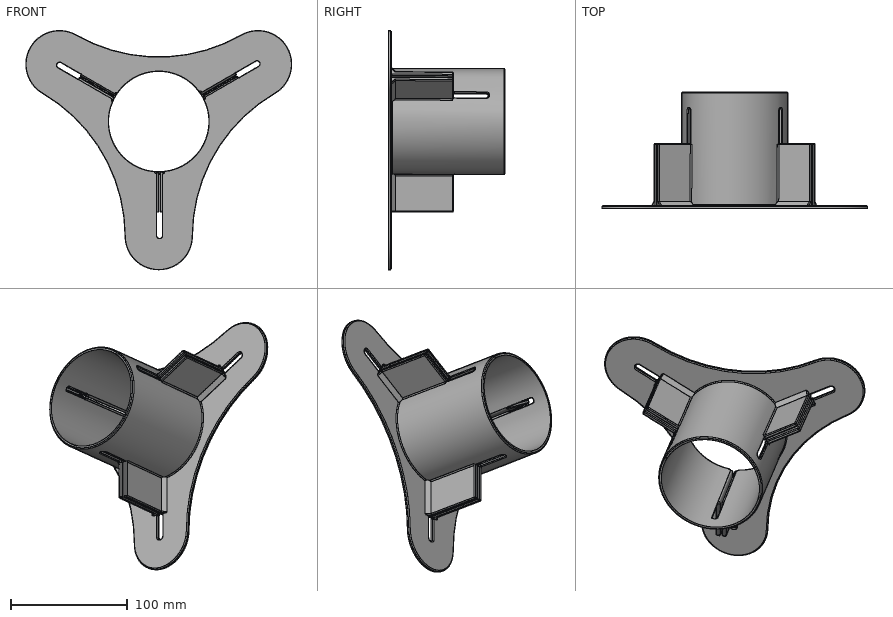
import cadquery as cq
import math

plate_thickness = 2.5
tube_length = 100.0
bore_radius = 43.0
tube_wall = 2.5
edge_chamfer = 1.0

arm_count = 3
arm_reach = 98.3
overall_width = 228.0
waist_radius = 55.5

fin_reach = 77.8
fin_top = 55.9
fin_width = 9.0
fin_gap = 1.5
fin_foot = 3.6
fin_tilt = 0.6
tilt_pivot = 68.5
mouth_radius = 1.8

slot_width = 5.0
plate_slot_reach = 100.3
tube_slot_top = 86.0

tube_radius = bore_radius + tube_wall
arm_pitch = 360 / arm_count
arm_end_radius = overall_width / 2 - arm_reach * math.sin(math.radians(arm_pitch / 2))
mouth_chamfer = (slot_width - fin_gap) / 2
overcut = 2.3
tilt_clearance = 0.1
outward = -45


def polar(radius, angle):
    """Point across the tube axis, with the angle in degrees."""
    return (radius * math.cos(math.radians(angle)), radius * math.sin(math.radians(angle)))


def concave_edge():
    """Centre distance and radius of the edge arc that is tangent to two neighbouring arm ends."""
    along = arm_reach * math.cos(math.radians(arm_pitch / 2))
    across = arm_reach * math.sin(math.radians(arm_pitch / 2))
    offset = arm_end_radius - waist_radius
    distance = (along**2 + across**2 - offset**2) / (2 * (along + offset))
    return distance, distance - waist_radius


def tangent_point(arm_angle, side):
    """Point where an arm's round end meets the concave edge on one side (+1 or -1)."""
    distance, radius = concave_edge()
    arm_x, arm_z = polar(arm_reach, arm_angle)
    edge_x, edge_z = polar(distance, arm_angle + side * arm_pitch / 2)
    share = arm_end_radius / (arm_end_radius + radius)
    return (arm_x + share * (edge_x - arm_x), arm_z + share * (edge_z - arm_z))


def plan(y):
    """Workplane across the tube axis at the given Y: local axes X and -Z, extruding toward +Y."""
    return cq.Workplane(cq.Plane((0, y, 0), (1, 0, 0), (0, 1, 0)))


def make_plate():
    first_arm = 90
    outline = plan(0).moveTo(*tangent_point(first_arm, -1))
    for index in range(arm_count):
        arm = first_arm + index * arm_pitch
        outline = outline.threePointArc(polar(arm_reach + arm_end_radius, arm), tangent_point(arm, 1))
        waist = polar(waist_radius, arm + arm_pitch / 2)
        outline = outline.threePointArc(waist, tangent_point(arm + arm_pitch, -1))
    return outline.close().extrude(plate_thickness).faces(">Y").edges().chamfer(edge_chamfer)


def make_tube():
    """Solid tube with a chamfered far end and a sloped collar on the plate."""
    tube = plan(0).circle(tube_radius).extrude(tube_length).faces(">Y").edges().chamfer(edge_chamfer)
    collar = plan(plate_thickness).circle(tube_radius + edge_chamfer).extrude(edge_chamfer, taper=-outward)
    return tube.union(collar)


def make_sheet():
    """One sheet of the fin on the arm pointing to -Z, on the +X side of the gap."""
    inner = fin_gap / 2
    outer = fin_width / 2
    sheet = (
        cq.Workplane("XY")
        .moveTo(inner, plate_thickness)
        .lineTo(outer + fin_foot, plate_thickness)
        .lineTo(outer, plate_thickness + fin_foot)
        .lineTo(outer, fin_top)
        .lineTo(inner, fin_top)
        .close()
        .extrude(-fin_reach)
    )
    free_edges = sheet.faces(">Y or <Z").edges("not(<Y or >Z)")
    return free_edges.chamfer(edge_chamfer)


def make_fin():
    """Two sheets, a foot sunk into the plate and sloped corners along the tube."""
    sheet = make_sheet()
    foot_width = fin_width + 2 * fin_foot
    foot = plan(plate_thickness / 2).center(0, fin_reach / 2).rect(foot_width, fin_reach - 2 * edge_chamfer)
    corner_half = fin_width / 2 + edge_chamfer
    corner_base = math.sqrt(tube_radius**2 - corner_half**2)
    corners = (
        plan(plate_thickness)
        .moveTo(-corner_half, 0)
        .lineTo(-corner_half, corner_base)
        .lineTo(-fin_width / 2, tube_radius + edge_chamfer)
        .lineTo(fin_width / 2, tube_radius + edge_chamfer)
        .lineTo(corner_half, corner_base)
        .lineTo(corner_half, 0)
        .close()
        .extrude(fin_top - edge_chamfer - plate_thickness)
    )
    return sheet.union(sheet.mirror("YZ")).union(foot.extrude(plate_thickness / 2)).union(corners)


def round_slot(plane, start, end):
    """Slot outline along local Y with a square start and a round end."""
    half = slot_width / 2
    return (
        plane
        .moveTo(-half, start)
        .lineTo(-half, end - half)
        .threePointArc((0, end), (half, end - half))
        .lineTo(half, start)
        .close()
    )


def gap_outline(plane):
    """Gap of a fin seen along the tube axis, with a rounded mouth at the bore."""
    half = fin_gap / 2
    mouth_half = half + mouth_radius
    mouth_end = bore_radius + mouth_radius
    bulge = mouth_radius * (1 - math.sqrt(0.5))
    return (
        plane
        .moveTo(half, fin_reach)
        .lineTo(half, mouth_end)
        .threePointArc((half + bulge, bore_radius + bulge), (mouth_half, bore_radius))
        .lineTo(mouth_half, bore_radius - overcut)
        .lineTo(-mouth_half, bore_radius - overcut)
        .lineTo(-mouth_half, bore_radius)
        .threePointArc((-half - bulge, bore_radius + bulge), (-half, mouth_end))
        .lineTo(-half, fin_reach)
        .close()
    )


def make_gap():
    """Gap between the sheets, widened to the slot width by a chamfer at the front of the plate."""
    gap = gap_outline(plan(0)).extrude(fin_top)
    chamfer = gap_outline(plan(mouth_chamfer)).extrude(-mouth_chamfer - tilt_clearance, taper=outward)
    return gap.union(chamfer)


def make_plate_slot():
    """Slot in the plate beyond the fin, with a chamfered rim on the back."""
    slot = round_slot(plan(-overcut), fin_reach, plate_slot_reach).extrude(plate_thickness + 2 * overcut)
    rim_start = fin_reach + edge_chamfer
    rim = round_slot(plan(plate_thickness - edge_chamfer), rim_start, plate_slot_reach)
    return slot.union(rim.extrude(edge_chamfer + tilt_clearance, taper=outward))


def make_tube_slot():
    """Slot in the tube above the fin, with a chamfered rim on the outside."""
    slot = round_slot(cq.Workplane("XY"), fin_top, tube_slot_top).extrude(-tube_radius - overcut)
    rim_plane = cq.Workplane("XY", origin=(0, 0, edge_chamfer - tube_radius))
    rim = round_slot(rim_plane, fin_top + edge_chamfer, tube_slot_top)
    return slot.union(rim.extrude(-edge_chamfer, taper=outward))


def on_arm(feature, index):
    """Tilt a feature of the -Z arm sideways and turn it to the numbered arm."""
    tilted = feature.rotate((0, tilt_pivot, 0), (0, tilt_pivot, 1), fin_tilt)
    return tilted.rotate((0, 0, 0), (0, 1, 0), index * arm_pitch)


body = make_plate().union(make_tube())
fin = make_fin()
for index in range(arm_count):
    body = body.union(on_arm(fin, index))
body = body.cut(plan(-overcut).circle(bore_radius).extrude(tube_length + 2 * overcut))
for opening in (make_gap(), make_plate_slot(), make_tube_slot()):
    for index in range(arm_count):
        body = body.cut(on_arm(opening, index))
result = body